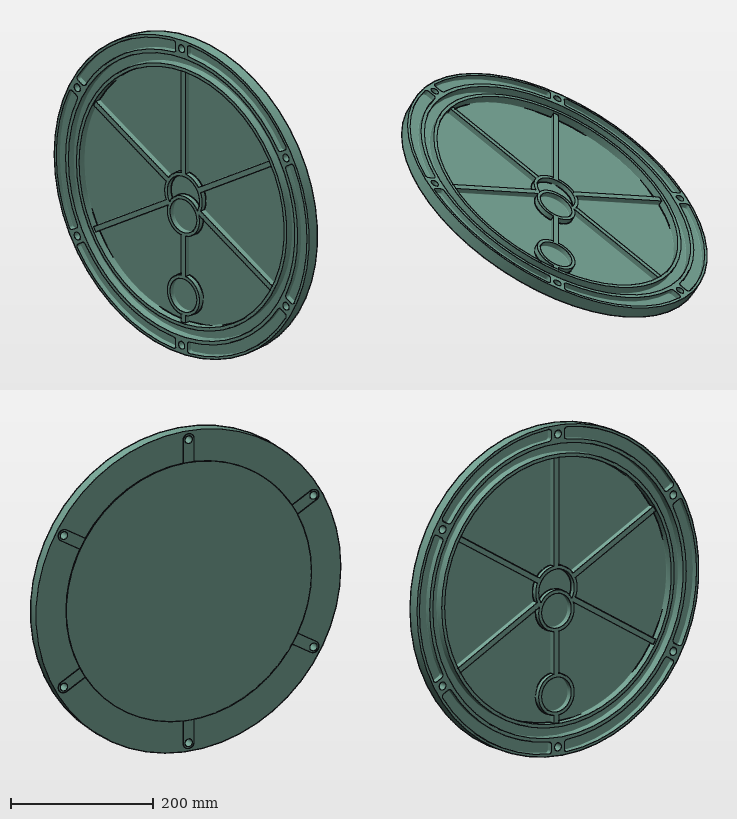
import cadquery as cq

disc_diameter = 475
overall_depth = 20.0
back_pad_diameter = 382.0
back_pad_height = 2.0
lug_height = 1.0
lug_width = 17.0
disc_depth = overall_depth - back_pad_height

bolt_count = 6
bolt_circle_diameter = 449.0
bolt_hole_diameter = 11.5
bolt_angles = [90 + 360 / bolt_count * i for i in range(bolt_count)]

groove_outer_diameter = 422.0
groove_inner_diameter = 392.0
groove_depth = 12.0
cavity_diameter = 382.0
cavity_depth = 12.0
pocket_inner_diameter = 432.2
pocket_outer_diameter = 467.0
pocket_depth = 8.0
pocket_end_gap = 22.0
pocket_corner_radius = 4.5

rib_width = 8.0
rib_height = 8.0
hub_outer_diameter = 70.0
hub_inner_diameter = 60.0
ring_outer_diameter = 60.0
ring_inner_diameter = 50.0
ring_centers_z = [-30.0, -150.0]

floor_fillet_radius = 0.5


def plane_at(depth):
    """XZ sketch plane at a depth behind the front face; extrusions run toward +Y."""
    return cq.Workplane(cq.Plane(origin=(0, depth, 0), xDir=(-1, 0, 0), normal=(0, 1, 0)))


def cylinder(diameter, start, length, center_z=0):
    return plane_at(start).center(0, center_z).circle(diameter / 2).extrude(length)


def tube(outer_diameter, inner_diameter, start, length):
    return plane_at(start).circle(outer_diameter / 2).circle(inner_diameter / 2).extrude(length)


def turn_to(shape, angle):
    """Turn a shape that points along +Z about the disc axis, to an angle from +X."""
    return shape.rotate((0, 0, 0), (0, 1, 0), 90 - angle)


def radial_bar(angle, width, reach, start, length):
    """Bar from the disc axis outward, turned to the given angle from +X."""
    bar = plane_at(start).center(0, reach / 2).rect(width, reach).extrude(length)
    return turn_to(bar, angle)


def back_lug(angle):
    """Round-ended lug on the back that carries one bolt hole."""
    reach = bolt_circle_diameter / 2
    tip = turn_to(cylinder(lug_width, disc_depth, lug_height, reach), angle)
    return radial_bar(angle, lug_width, reach, disc_depth, lug_height).union(tip)


def rim_pockets():
    """Arc pockets in the rim, parted by a straight land at each bolt hole."""
    pockets = tube(pocket_outer_diameter, pocket_inner_diameter, 0, pocket_depth)
    for angle in bolt_angles:
        pockets = pockets.cut(radial_bar(angle, pocket_end_gap, disc_diameter / 2, 0, pocket_depth))
    return pockets.edges("|Y").fillet(pocket_corner_radius)


def rib_frame():
    """Six ribs, the hub ring and the two offset rings."""
    start = cavity_depth - rib_height
    frame = cylinder(hub_outer_diameter, start, rib_height)
    for angle in bolt_angles:
        frame = frame.union(radial_bar(angle, rib_width, cavity_diameter / 2, start, rib_height))
    frame = frame.cut(cylinder(hub_inner_diameter, start, rib_height))
    for center_z in ring_centers_z:
        frame = frame.union(cylinder(ring_outer_diameter, start, rib_height, center_z))
        frame = frame.cut(cylinder(ring_inner_diameter, start, rib_height, center_z))
    return frame


def edges_at_depth(depth):
    """Selector for the edges that lie flat at a depth behind the front face."""
    reach = disc_diameter
    slack = 0.05
    return cq.selectors.BoxSelector(
        (-reach, depth - slack, -reach), (reach, depth + slack, reach), boundingbox=True
    )


body = cylinder(disc_diameter, 0, disc_depth)
body = body.union(cylinder(back_pad_diameter, disc_depth, back_pad_height))
for bolt_angle in bolt_angles:
    body = body.union(back_lug(bolt_angle))

body = body.cut(tube(groove_outer_diameter, groove_inner_diameter, 0, groove_depth))
body = body.cut(cylinder(cavity_diameter, 0, cavity_depth))
body = body.cut(rim_pockets())
body = body.union(rib_frame())
for floor_depth in sorted({groove_depth, pocket_depth, cavity_depth}):
    body = body.edges(edges_at_depth(floor_depth)).fillet(floor_fillet_radius)

for bolt_angle in bolt_angles:
    hole = cylinder(bolt_hole_diameter, 0, overall_depth, bolt_circle_diameter / 2)
    body = body.cut(turn_to(hole, bolt_angle))

result = body